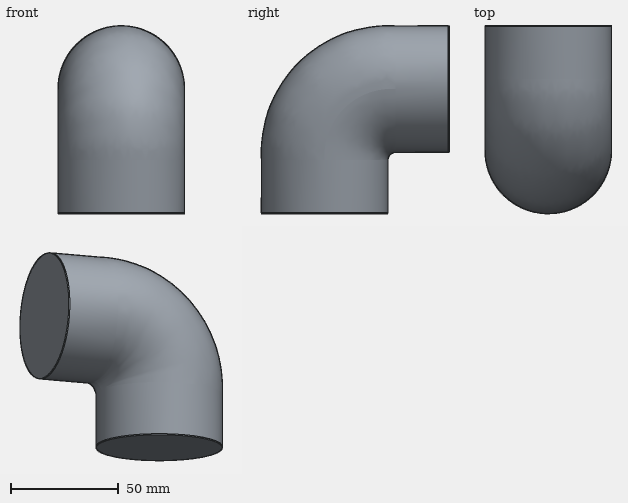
import cadquery as cq
import math

overall_size = 87.5
outer_diameter = 59.0
straight_length = 24.9
outer_run = 3.8
rim_length = 0.5
rim_setback = 0.2
bend_section_count = 9

outer_radius = outer_diameter / 2
bend_radius = overall_size - outer_radius - straight_length
inside_radius = bend_radius - outer_radius
outside_radius = bend_radius + outer_radius

lower_plane = cq.Plane(origin=(0, 0, -bend_radius), xDir=(1, 0, 0), normal=(0, 0, -1))
rear_plane = cq.Plane(origin=(0, bend_radius, 0), xDir=(1, 0, 0), normal=(0, 1, 0))
bend_center = cq.Vector(0, bend_radius, -bend_radius)


def outside_reach(angle):
    """Distance from the bend center to the outer profile: an arc between two short straight runs."""
    arc_radius = outside_radius - outer_run
    along = outer_run * (math.cos(angle) + math.sin(angle))
    across = outer_run * (math.cos(angle) - math.sin(angle))
    return along + math.sqrt(arc_radius**2 - across**2)


def bend_section(index):
    """Section wire of the bend: circular at the ends, slightly elongated outward in between."""
    last_index = bend_section_count - 1
    angle = math.pi / 2 * index / last_index
    is_end = index in (0, last_index)
    reach = outside_radius if is_end else outside_reach(angle)
    outward = cq.Vector(0, -math.cos(angle), math.sin(angle))
    center = bend_center + outward * ((reach + inside_radius) / 2)
    tangent = cq.Vector(0, math.sin(angle), math.cos(angle))
    plane = cq.Plane(origin=center, xDir=(1, 0, 0), normal=tangent)
    radial_half_width = (reach - inside_radius) / 2
    return cq.Workplane(plane).ellipse(outer_radius, radial_half_width).wires().val()


def straight_collar(plane):
    """Straight cylinder along the plane normal, with a narrow bevel around its free end."""
    collar_profile = [
        (0, 0),
        (outer_radius, 0),
        (outer_radius, straight_length - rim_length),
        (outer_radius - rim_setback, straight_length),
        (0, straight_length),
    ]
    profile_plane = cq.Plane(
        origin=plane.origin, xDir=plane.xDir, normal=plane.xDir.cross(plane.zDir)
    )
    return cq.Workplane(profile_plane).polyline(collar_profile).close().revolve(360, (0, 0), (0, 1))


bend = cq.Workplane(cq.Solid.makeLoft([bend_section(index) for index in range(bend_section_count)]))

result = bend.union(straight_collar(lower_plane)).union(straight_collar(rear_plane))